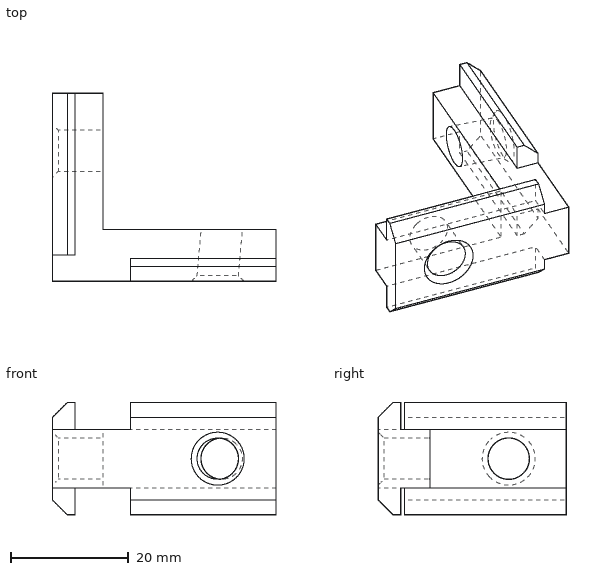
import cadquery as cq
import math

length_x = 38.0
length_y = 32.0
height = 19.1

web_height = 10.0
x_leg_thickness = 8.8
y_leg_thickness = 8.63

flange_thickness = 3.88
bevel = 2.55
x_flange_start = 13.25
y_flange_start = 4.5

hole_diameter = 7.0
countersink_diameter = 9.0
countersink_depth = (countersink_diameter - hole_diameter) / 2
x_leg_hole_position = 28.1
y_leg_hole_position = 22.2
x_leg_hole_tilt = 5.0


def make_web():
    outline = [
        (0, 0),
        (length_x, 0),
        (length_x, x_leg_thickness),
        (y_leg_thickness, x_leg_thickness),
        (y_leg_thickness, length_y),
        (0, length_y),
    ]
    return cq.Workplane("XY").polyline(outline).close().extrude(web_height / 2, both=True)


def make_flange(size_x, size_y, start, outer_edges):
    """Full-height bar with its two outer long edges bevelled."""
    bar = cq.Workplane("XY").box(size_x, size_y, height, centered=(False, False, True))
    return bar.edges(outer_edges).chamfer(bevel).translate(start)


def cut_hole(body, center, inward, leg_thickness, tilt_direction=cq.Vector(0, 0, 0), tilt=0.0):
    """Cut a countersunk hole whose bore may lean toward tilt_direction."""
    countersink = cq.Solid.makeCone(
        countersink_diameter / 2, hole_diameter / 2, countersink_depth, center, inward
    )
    bore_axis = inward + tilt_direction * math.tan(math.radians(tilt))
    bore_start = center + inward * countersink_depth - bore_axis * (countersink_depth / 2)
    bore = cq.Solid.makeCylinder(hole_diameter / 2, 2 * leg_thickness, bore_start, bore_axis)
    return body.cut(cq.Workplane(obj=countersink)).cut(cq.Workplane(obj=bore))


x_flange = make_flange(
    length_x - x_flange_start, flange_thickness, (x_flange_start, 0, 0), "|X and <Y"
)
y_flange = make_flange(
    flange_thickness, length_y - y_flange_start, (0, y_flange_start, 0), "|Y and <X"
)
result = make_web().union(x_flange).union(y_flange)
result = cut_hole(
    result,
    cq.Vector(x_leg_hole_position, 0, 0),
    cq.Vector(0, 1, 0),
    x_leg_thickness,
    cq.Vector(1, 0, 0),
    x_leg_hole_tilt,
)
result = cut_hole(
    result, cq.Vector(0, y_leg_hole_position, 0), cq.Vector(1, 0, 0), y_leg_thickness
)